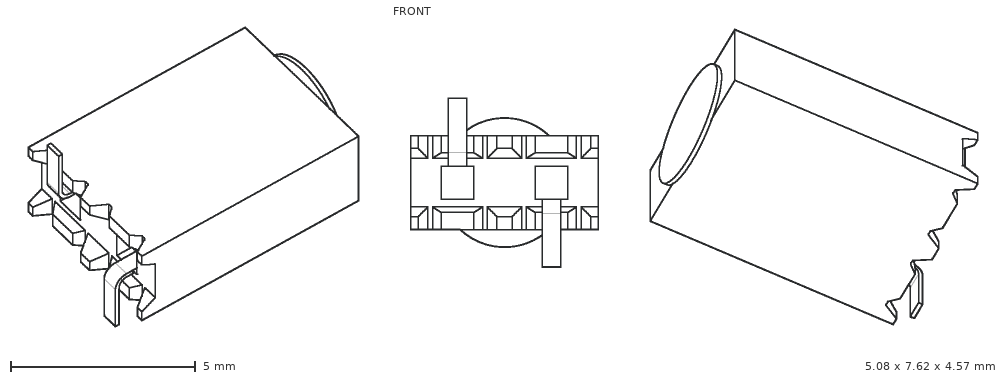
import cadquery as cq
import math

pitch = 2.54
housing_width = 2 * pitch
housing_height = 2.54
housing_length = 7.366

disc_diameter = 3.5
disc_thickness = 0.127

strip_thickness = 0.127
strip_width = 0.508
bend_inner_radius = 0.254
bend_outer_radius = bend_inner_radius + strip_thickness
contact_reach = 4.572 / 2
contact_side = {-pitch / 2: 1, pitch / 2: -1}

socket_size = 0.889
socket_depth = 2.54

taper = math.tan(math.radians(30))
tall_height = 0.4572
tall_tip_width = 0.4064
tall_base_width = tall_tip_width + 2 * tall_height * taper
tooth_base_depth = 0.61
tooth_gap = 0.127
low_height = 0.254
low_tip_width = socket_size
low_base_width = pitch - tall_base_width - 2 * tooth_gap

tip_y = -housing_length / 2
face_y = tip_y + tall_height
rear_y = housing_length / 2
socket_end_y = face_y + socket_depth
contact_front_y = tip_y - strip_thickness


def box(x_range, y_range, z_range):
    """Box between the given limits along each axis."""
    (x0, x1), (y0, y1), (z0, z1) = x_range, y_range, z_range
    return cq.Workplane("XY").box(x1 - x0, y1 - y0, z1 - z0, centered=False).translate((x0, y0, z0))


def tooth(center_x, side, height, base_width, tip_width):
    """Tooth flush with the top (side 1) or bottom (side -1) face, tapered on its other three sides."""
    outer_z = side * housing_height / 2
    plan = (
        cq.Workplane("XY")
        .polyline([
            (center_x - base_width / 2, face_y),
            (center_x + base_width / 2, face_y),
            (center_x + tip_width / 2, face_y - height),
            (center_x - tip_width / 2, face_y - height),
        ])
        .close()
        .extrude(housing_height / 2, both=True)
    )
    tip_depth = tooth_base_depth - height * taper
    profile = (
        cq.Workplane("YZ")
        .polyline([
            (face_y, outer_z),
            (face_y, outer_z - side * tooth_base_depth),
            (face_y - height, outer_z - side * tip_depth),
            (face_y - height, outer_z),
        ])
        .close()
        .extrude(housing_width, both=True)
    )
    return plan.intersect(profile)


def make_contact(center_x, side):
    """Strip lying against the socket wall, bent 90 degrees in front of the housing."""
    inner_z = side * socket_size / 2
    outer_z = inner_z + side * strip_thickness
    bend_y = contact_front_y + bend_outer_radius
    bend_z = inner_z + side * bend_outer_radius
    diagonal = math.sqrt(0.5)
    return (
        cq.Workplane("YZ", origin=(center_x, 0, 0))
        .moveTo(socket_end_y, inner_z)
        .lineTo(bend_y, inner_z)
        .threePointArc(
            (bend_y - bend_outer_radius * diagonal, bend_z - side * bend_outer_radius * diagonal),
            (contact_front_y, bend_z),
        )
        .lineTo(contact_front_y, side * contact_reach)
        .lineTo(tip_y, side * contact_reach)
        .lineTo(tip_y, bend_z)
        .threePointArc(
            (bend_y - bend_inner_radius * diagonal, bend_z - side * bend_inner_radius * diagonal),
            (bend_y, outer_z),
        )
        .lineTo(socket_end_y, outer_z)
        .close()
        .extrude(strip_width / 2, both=True)
    )


def make_housing():
    """Block with rear disc, two rows of teeth, and a socket with a strip slot for each contact."""
    half_width = housing_width / 2
    half_height = housing_height / 2
    envelope = box((-half_width, half_width), (tip_y, rear_y), (-half_height, half_height))
    body = box((-half_width, half_width), (face_y, rear_y), (-half_height, half_height))
    for side in (1, -1):
        for center_x in (-pitch, 0, pitch):
            tall_tooth = tooth(center_x, side, tall_height, tall_base_width, tall_tip_width)
            body = body.union(tall_tooth.intersect(envelope))
        for center_x in contact_side:
            body = body.union(tooth(center_x, side, low_height, low_base_width, low_tip_width))

    disc = (
        cq.Workplane("XZ", origin=(0, rear_y, 0))
        .circle(disc_diameter / 2)
        .extrude(-disc_thickness)
    )
    body = body.union(disc)

    half_socket = socket_size / 2
    for center_x, side in contact_side.items():
        socket = box(
            (center_x - half_socket, center_x + half_socket),
            (face_y, socket_end_y),
            (-half_socket, half_socket),
        )
        body = body.cut(socket).cut(make_contact(center_x, side))
    return body


housing = make_housing()
contacts = [make_contact(center_x, side) for center_x, side in contact_side.items()]

result = cq.Compound.makeCompound([housing.solids().val(), *[contact.val() for contact in contacts]])